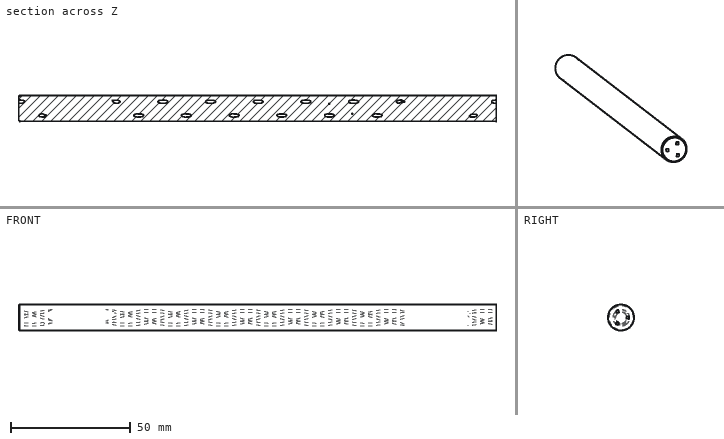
import math

import cadquery as cq

ROD_LENGTH = 200.0
ROD_DIAMETER = 11.0
END_CHAMFER = 0.5
CHANNEL_COUNT = 3
CHANNEL_DIAMETER = 1.2
CHANNEL_CIRCLE_RADIUS = 2.9
CHANNEL_OVERRUN = 1.0
HELIX_ANGLE = 30.0
FULL_TURN = 360.0

CHANNEL_LEAD = math.pi * ROD_DIAMETER / math.tan(math.radians(HELIX_ANGLE))
CUTTER_LENGTH = ROD_LENGTH + 2 * CHANNEL_OVERRUN

FIRST_CHANNEL_ANGLE = -FULL_TURN * (ROD_LENGTH + CHANNEL_OVERRUN) / CHANNEL_LEAD % FULL_TURN

ROD_AXIS = ((0, 0, 0), (1, 0, 0))


def cross_section_plane(x):
    """Plane across the rod at x: local x along +Y, local y along +Z, normal along +X."""
    return cq.Plane(origin=(x, 0, 0), xDir=(0, 1, 0), normal=(1, 0, 0))


def make_rod():
    """Round bar along X, centred on the origin, with the rim of its -X end chamfered."""
    bar = cq.Workplane(cross_section_plane(-ROD_LENGTH / 2)).circle(ROD_DIAMETER / 2).extrude(ROD_LENGTH)
    return bar.faces("<X").edges().chamfer(END_CHAMFER)


def make_channel_cutter():
    """Right-handed helical round cutter that overruns both end faces and starts on the +Y side."""
    start = cross_section_plane(-CUTTER_LENGTH / 2)
    helix = cq.Wire.makeHelix(CHANNEL_LEAD, CUTTER_LENGTH, CHANNEL_CIRCLE_RADIUS)
    path = cq.Workplane(obj=helix.moved(start.location))
    profile = cq.Workplane(start).center(CHANNEL_CIRCLE_RADIUS, 0).circle(CHANNEL_DIAMETER / 2)
    return profile.sweep(path, isFrenet=True)


def cut_channels(rod):
    """Cut the evenly spaced helical channels through the rod."""
    cutter = make_channel_cutter()
    for index in range(CHANNEL_COUNT):
        angle = FIRST_CHANNEL_ANGLE + index * FULL_TURN / CHANNEL_COUNT
        rod = rod.cut(cutter.rotate(*ROD_AXIS, angle))
    return rod


result = cut_channels(make_rod())